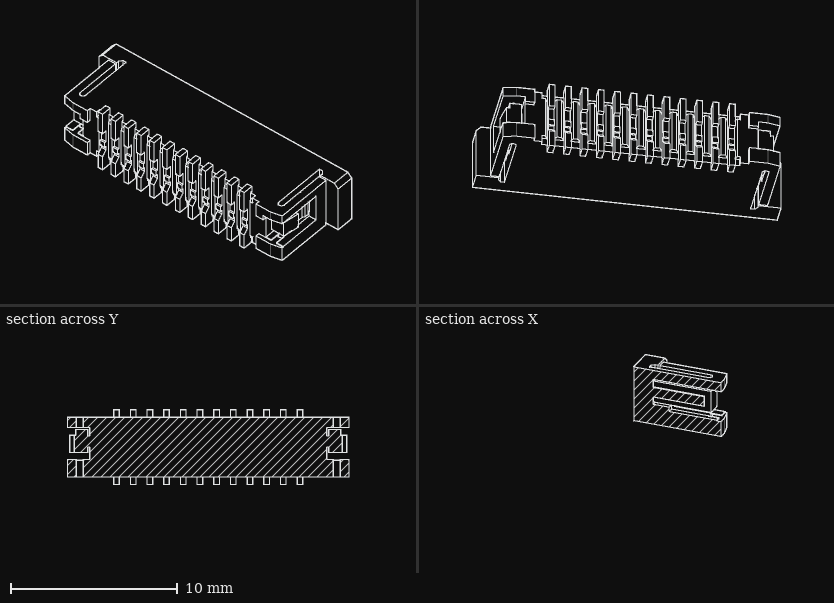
import cadquery as cq


housing_height = 3.6
ear_half_width = 9.3
ear_depth = 1.28
ear_chamfer = 0.3
arm_half_width = 8.45
arm_gap = 0.12
arm_start = ear_depth + arm_gap
face_depth = 5.43

tip_depth = 5.7
tip_inner_x = 6.55
tip_facet_x = 7.67
tip_facet_depth = 0.17
upper_lip_bottom = 2.64

slot_inner_x = 7.51
slot_outer_x = 7.91
slot_start = 0.88
slot_end = 4.9
slot_chamfer_x = 0.16
slot_chamfer_depth = 0.21

cavity_inner_x = 7.11
cavity_top = 2.97
cavity_ledge_top = 1.35
cavity_sill_top = 1.06
window_start = 2.34
lower_tip_top = 1.01

tab_inner_x = 7.22
tab_outer_x = 7.95
tab_end = 5.03
tab_bottom = 1.46
tab_top = 2.86
hook_top = 2.52
hook_start = 3.85
hook_peak_x = 8.32
hook_end_x = 8.15
bump_height = 0.1
bump_depths = (2.34, 2.62, 2.9, 3.04)
barb_bottom = 1.8
barb_top = 2.47
barb_end = 4.6

contact_count = 12
contact_pitch = 1.0
contact_width = 0.35
contact_start = 5.03
contact_end = 5.75
contact_overhang = 0.45
contact_waist = face_depth
contact_bead_depth = 5.55
head_bottom = 2.47
bead_top = 1.62
bead_bottom = 1.22
foot_slope_top = 0.95
foot_slope_bottom = 0.62

recess_half_width = 6.05
recess_depth = 5.14
groove_bottom = 0.45
groove_top = 3.2
groove_half_width = 0.36
groove_root_half_width = 0.19


def block(x_range, depth_range, z_range):
    """Box between two X positions, two depths and two heights."""
    x0, x1 = x_range
    d0, d1 = depth_range
    z0, z1 = z_range
    return cq.Workplane("XY").box(x1 - x0, d1 - d0, z1 - z0, centered=False).translate((x0, -d1, z0))


def plan_prism(points, z_range):
    """Upright prism over an outline of (x, depth) points."""
    z0, z1 = z_range
    outline = [(x, -depth) for x, depth in points]
    return cq.Workplane("XY").workplane(offset=z0).polyline(outline).close().extrude(z1 - z0)


def both_sides(shape):
    return shape.union(shape.mirror("YZ"))


def make_housing():
    ears = block((-ear_half_width, ear_half_width), (0, ear_depth), (0, housing_height))
    ears = ears.edges("|Y and >Z").chamfer(ear_chamfer)
    core = block((-arm_half_width, arm_half_width), (0, face_depth), (0, housing_height))
    return ears.union(core)


def make_arm_tip():
    """Faceted tip in front of the +X arm, full height; the cavity opens it in the middle."""
    tip = plan_prism(
        [
            (tip_inner_x, recess_depth),
            (arm_half_width, recess_depth),
            (arm_half_width, tip_depth - tip_facet_depth),
            (tip_facet_x, tip_depth),
            (tip_inner_x, tip_depth),
        ],
        (0, housing_height),
    )
    opening = block(
        (tip_inner_x, cavity_inner_x), (face_depth, tip_depth), (lower_tip_top, upper_lip_bottom)
    )
    return tip.cut(opening)


def make_arm_slot():
    """Full-height slot with a round front end, and the gap that parts the +X arm from its ear."""
    slot_middle_x = (slot_inner_x + slot_outer_x) / 2
    end_radius = (slot_outer_x - slot_inner_x) / 2
    slot = (
        cq.Workplane("XY")
        .moveTo(slot_inner_x, -slot_start)
        .lineTo(slot_outer_x - slot_chamfer_x, -slot_start)
        .lineTo(slot_outer_x, -slot_start - slot_chamfer_depth)
        .lineTo(slot_outer_x, -slot_end + end_radius)
        .threePointArc((slot_middle_x, -slot_end), (slot_inner_x, -slot_end + end_radius))
        .close()
        .extrude(housing_height)
    )
    gap = block((slot_inner_x, arm_half_width), (ear_depth, arm_start), (0, housing_height))
    return slot.union(gap)


def make_cavity():
    """Space around the +X spring tab, open through the side window and at the front."""
    channel = block(
        (cavity_inner_x, slot_outer_x), (ear_depth, window_start), (cavity_ledge_top, cavity_top)
    )
    window = block(
        (cavity_inner_x, arm_half_width), (window_start, face_depth), (cavity_sill_top, cavity_top)
    )
    slot_outlet = block(
        (slot_inner_x, slot_outer_x), (window_start, face_depth), (lower_tip_top, cavity_top)
    )
    mouth = block((cavity_inner_x, arm_half_width), (face_depth, tip_depth), (lower_tip_top, cavity_top))
    return channel.union(window).union(slot_outlet).union(mouth)


def make_tab():
    """Spring tab of the +X side with its hook, bump and the barb that holds it in the housing."""
    rear = block((tab_inner_x, slot_outer_x), (slot_start, window_start), (tab_bottom, tab_top))
    front = block((tab_inner_x, tab_outer_x), (window_start, tab_end), (tab_bottom, tab_top))
    hook = plan_prism(
        [
            (tab_outer_x, hook_start),
            (hook_peak_x, hook_start),
            (hook_end_x, tab_end),
            (tab_outer_x, tab_end),
        ],
        (tab_bottom, hook_top),
    )
    rise_start, rise_end, fall_start, fall_end = bump_depths
    bump = plan_prism(
        [
            (tab_outer_x, rise_start),
            (tab_outer_x + bump_height, rise_end),
            (tab_outer_x + bump_height, fall_start),
            (tab_outer_x, fall_end),
        ],
        (tab_bottom, hook_top),
    )
    barb = block((cavity_inner_x, tab_inner_x), (ear_depth, barb_end), (barb_bottom, barb_top))
    return rear.union(front).union(hook).union(bump).union(barb)


def cut_front_recess(housing):
    """Set the front face back above and below the grooves."""
    x_range = (-recess_half_width, recess_half_width)
    for z_range in ((0, groove_bottom), (groove_top, housing_height)):
        housing = housing.cut(block(x_range, (recess_depth, face_depth), z_range))
    return housing


def make_groove(x):
    return plan_prism(
        [
            (x - groove_half_width, face_depth),
            (x - groove_root_half_width, recess_depth),
            (x + groove_root_half_width, recess_depth),
            (x + groove_half_width, face_depth),
        ],
        (groove_bottom, groove_top),
    )


def make_contact(x):
    """Flat contact: head above, beaded waist and a sloped foot below."""
    profile = [
        (contact_start, housing_height + contact_overhang),
        (contact_end, housing_height + contact_overhang),
        (contact_end, head_bottom),
        (contact_waist, head_bottom),
        (contact_waist, bead_top),
        (contact_bead_depth, bead_top),
        (contact_bead_depth, bead_bottom),
        (contact_waist, bead_bottom),
        (contact_waist, foot_slope_top),
        (contact_end, foot_slope_bottom),
        (contact_end, -contact_overhang),
        (contact_start, -contact_overhang),
    ]
    outline = [(-depth, z) for depth, z in profile]
    contact = cq.Workplane("YZ").polyline(outline).close().extrude(contact_width)
    return contact.translate((x - contact_width / 2, 0, 0))


housing = make_housing().union(both_sides(make_arm_tip()))
housing = housing.cut(both_sides(make_arm_slot())).cut(both_sides(make_cavity()))
housing = cut_front_recess(housing)

result = housing.union(both_sides(make_tab()))
for index in range(contact_count):
    contact_x = (index - (contact_count - 1) / 2) * contact_pitch
    result = result.cut(make_groove(contact_x)).union(make_contact(contact_x))